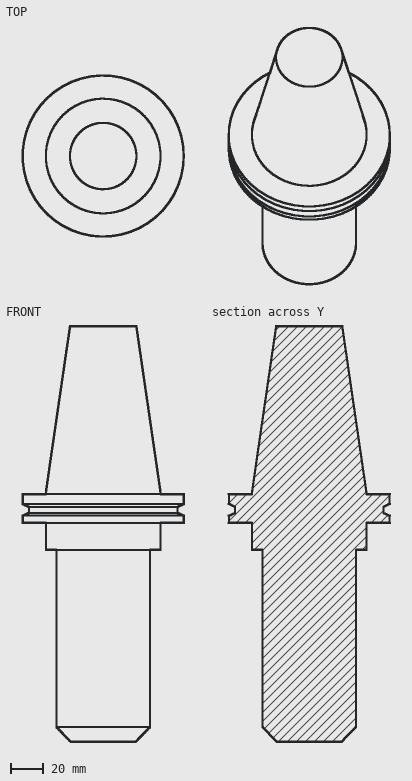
import cadquery as cq

total_length = 254.0

nose_tip_radius = 19.8
shank_radius = 28.7
nose_height = 9.1
shank_top = 117.3

collar_radius = 35.0
flange_radius = 49.3
flange_bottom = 133.9
flange_top = 151.5

groove_radius = 45.5
groove_floor_height = 3.5
groove_side_height = 1.8
groove_centre = 141.7

neck_radius = 35.0
taper_bottom = 153.0
taper_top_radius = 20.3


def make_body():
    """Revolve the stepped half outline about the Z axis."""
    outline = (
        cq.Workplane("XZ")
        .moveTo(0, 0)
        .lineTo(nose_tip_radius, 0)
        .lineTo(shank_radius, nose_height)
        .lineTo(shank_radius, shank_top)
        .lineTo(collar_radius, shank_top)
        .lineTo(collar_radius, flange_bottom)
        .lineTo(flange_radius, flange_bottom)
        .lineTo(flange_radius, flange_top)
        .lineTo(neck_radius, flange_top)
        .lineTo(neck_radius, taper_bottom)
        .lineTo(taper_top_radius, total_length)
        .lineTo(0, total_length)
        .close()
    )
    return outline.revolve(360, (0, 0, 0), (0, 1, 0))


def make_groove_cutter():
    """Ring with a flat floor and sloping sides that open outward."""
    floor_half = groove_floor_height / 2
    mouth_half = floor_half + groove_side_height
    section = (
        cq.Workplane("XZ")
        .moveTo(groove_radius, groove_centre - floor_half)
        .lineTo(flange_radius, groove_centre - mouth_half)
        .lineTo(flange_radius, groove_centre + mouth_half)
        .lineTo(groove_radius, groove_centre + floor_half)
        .close()
    )
    return section.revolve(360, (0, 0, 0), (0, 1, 0))


result = make_body().cut(make_groove_cutter())